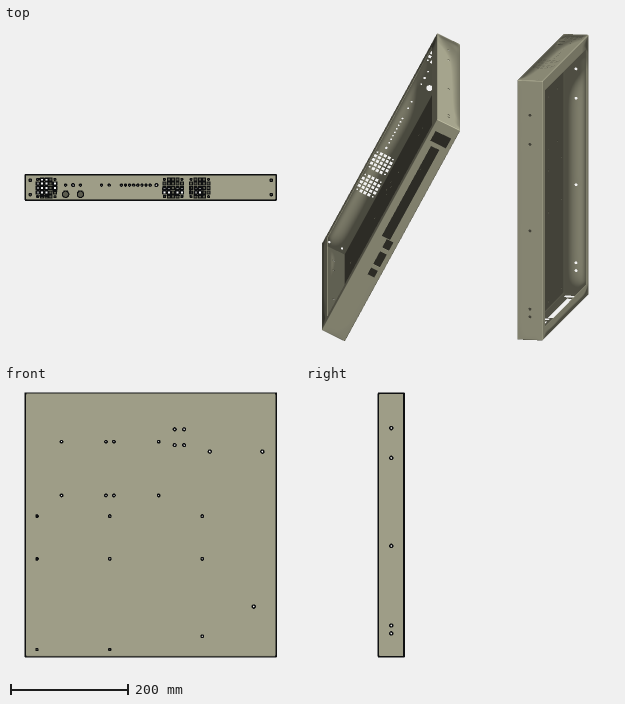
import cadquery as cq

WIDTH = 428.0
DEPTH = 44.45
HEIGHT = 450.0
SHEET = 1.0
FRONT_BEND_RADIUS = 2.05
REAR_BEND_RADIUS = 1.5
CORNER_RADIUS = 1.25
LIP_WIDTH = 20.0
CUT_DEPTH = 3 * SHEET

GRILLE_CENTRES_X = (-177.9, 38.2, 83.6)
GRILLE_CENTRE_Y = -1.0
GRILLE_COUNT = 5
GRILLE_PITCH = 7.4
GRILLE_SQUARE = 5.25
GRILLE_SCREW_DIAMETER = 3.3

ROW_Y = 4.0
LAMP_DIAMETER = 3.2
LAMP_COUNT = 8
LAMP_PITCH = 7.0
FIRST_LAMP_X = -50.0
BUTTONS_X = (-145.0, -119.8, -84.0, -70.8)
SWITCH_DIAMETER = 4.4
SWITCHES_X = (-132.2, 9.6)

SOCKET_DIAMETER = 10.8
SOCKETS_X = (-145.0, -119.8)
SOCKET_Y = -11.7

CORNER_SCREW_DIAMETER = 4.2
CORNER_SCREW_X = 205.3
CORNER_SCREW_Y = 12.2

PORT_Y = -7.2
PORT_WIDTH = 13.0
BOTTOM_WINDOWS = (
    (-184.0, 0.0, 20.0, 30.0),
    (-75.0, 1.5, 183.0, 16.0),
    (26.0, PORT_Y, 17.0, PORT_WIDTH),
    (55.0, PORT_Y, 26.0, PORT_WIDTH),
    (82.0, PORT_Y, 14.0, PORT_WIDTH),
)

SIDE_HOLE_DIAMETER = 5.0
SIDE_HOLES_Z = (165.0, 114.2, -35.8, -171.3, -184.8)

MOUNT_DIAMETER = 4.0
UPPER_MOUNT_COLUMNS = (-152.0, -76.3, -62.8, 13.5)
UPPER_MOUNT_ROWS = (141.8, 50.3)
LOWER_MOUNT_COLUMNS = (-193.9, -69.8, 87.7)
LOWER_MOUNT_ROWS = (15.0, -57.8)
LOWEST_MOUNTS_Z = (-212.3, -212.3, -189.5)

SPACER_DIAMETER = 4.5
SPACER_COLUMNS = (40.8, 56.8)
SPACER_ROWS = (162.9, 136.0)

BRACKET_DIAMETER = 5.0
BRACKET_HOLES = ((100.7, 125.0), (190.2, 125.0), (175.5, -139.1))


def block(x_size, y_size, z_size, x=0.0, y=0.0, z=0.0):
    """Box centred on (x, y, z)."""
    return cq.Workplane("XY").box(x_size, y_size, z_size).translate((x, y, z))


def grid(columns, rows):
    """Every pairing of a column position with a row position."""
    return [(column, row) for column in columns for row in rows]


def on_top_wall(points):
    """Work points (X, Y) just above the top wall."""
    return cq.Workplane("XY", origin=(0, 0, HEIGHT / 2 + SHEET)).pushPoints(points)


def top_holes(points, diameter):
    return on_top_wall(points).circle(diameter / 2).extrude(-CUT_DEPTH)


def front_holes(points, diameter):
    """Drills through the front plate at (X, Z) points."""
    plane = cq.Workplane("XZ", origin=(0, -DEPTH / 2 - SHEET, 0))
    return plane.pushPoints(points).circle(diameter / 2).extrude(-CUT_DEPTH)


def case():
    """Hollow folded case with a lip around its rear opening."""
    outer = block(WIDTH, DEPTH, HEIGHT)
    outer = outer.faces("<Y").edges().fillet(FRONT_BEND_RADIUS)
    outer = outer.edges("|Y").fillet(CORNER_RADIUS)
    outer = outer.faces(">Y").edges().fillet(REAR_BEND_RADIUS)

    cavity = block(WIDTH - 2 * SHEET, DEPTH - 2 * SHEET, HEIGHT - 2 * SHEET)
    cavity = cavity.faces("<Y").edges().fillet(FRONT_BEND_RADIUS - SHEET)

    opening = block(
        WIDTH - 2 * LIP_WIDTH,
        CUT_DEPTH,
        HEIGHT - 2 * LIP_WIDTH,
        y=DEPTH / 2,
    )
    return outer.cut(cavity).cut(opening)


def grille(centre_x):
    """Cutter for one fan grille: square vents with a screw hole at each corner of the grid."""
    reach = (GRILLE_COUNT - 1) / 2 * GRILLE_PITCH
    offsets = [i * GRILLE_PITCH - reach for i in range(GRILLE_COUNT)]
    ends = (offsets[0], offsets[-1])
    vents = []
    screws = []
    for dx, dy in grid(offsets, offsets):
        cell = (centre_x + dx, GRILLE_CENTRE_Y + dy)
        if dx in ends and dy in ends:
            screws.append(cell)
        else:
            vents.append(cell)
    squares = on_top_wall(vents).rect(GRILLE_SQUARE, GRILLE_SQUARE).extrude(-CUT_DEPTH)
    return squares.add(top_holes(screws, GRILLE_SCREW_DIAMETER)).combine()


def cut_top_wall(body):
    for centre_x in GRILLE_CENTRES_X:
        body = body.cut(grille(centre_x))

    lamps_x = [FIRST_LAMP_X + i * LAMP_PITCH for i in range(LAMP_COUNT)]
    body = body.cut(top_holes(grid((*BUTTONS_X, *lamps_x), (ROW_Y,)), LAMP_DIAMETER))
    body = body.cut(top_holes(grid(SWITCHES_X, (ROW_Y,)), SWITCH_DIAMETER))
    body = body.cut(top_holes(grid(SOCKETS_X, (SOCKET_Y,)), SOCKET_DIAMETER))

    corners = grid((-CORNER_SCREW_X, CORNER_SCREW_X), (-CORNER_SCREW_Y, CORNER_SCREW_Y))
    return body.cut(top_holes(corners, CORNER_SCREW_DIAMETER))


def cut_bottom_wall(body):
    for x, y, length, width in BOTTOM_WINDOWS:
        body = body.cut(block(length, width, CUT_DEPTH, x, y, -HEIGHT / 2))
    return body


def cut_side_walls(body):
    plane = cq.Workplane("YZ", origin=(-WIDTH / 2 - SHEET, 0, 0))
    holes = plane.pushPoints(grid((0.0,), SIDE_HOLES_Z)).circle(SIDE_HOLE_DIAMETER / 2)
    return body.cut(holes.extrude(WIDTH + 2 * SHEET))


def cut_front_plate(body):
    mounts = grid(UPPER_MOUNT_COLUMNS, UPPER_MOUNT_ROWS)
    mounts += grid(LOWER_MOUNT_COLUMNS, LOWER_MOUNT_ROWS)
    mounts += list(zip(LOWER_MOUNT_COLUMNS, LOWEST_MOUNTS_Z))
    body = body.cut(front_holes(mounts, MOUNT_DIAMETER))
    body = body.cut(front_holes(grid(SPACER_COLUMNS, SPACER_ROWS), SPACER_DIAMETER))
    return body.cut(front_holes(BRACKET_HOLES, BRACKET_DIAMETER))


result = case()
result = cut_top_wall(result)
result = cut_bottom_wall(result)
result = cut_side_walls(result)
result = cut_front_plate(result)